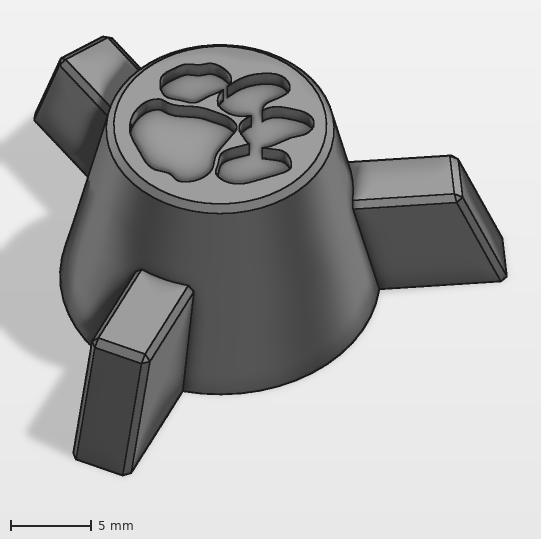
import cadquery as cq
import math

BASE_RADIUS = 10.0
BODY_HEIGHT = 14.0
BODY_DRAFT = 12.0
EDGE_CHAMFER = 0.4

WING_COUNT = 3
WING_SPAN = 32.48
WING_WIDTH = 4.0
WING_HEIGHT = 8.0
WING_END_SLOPE = 20.0
FIRST_WING_ANGLE = 180.0

SWEEP = math.radians(180 / WING_COUNT)
END_FLAT_HALF_WIDTH = WING_WIDTH / 2 - EDGE_CHAMFER
WING_REACH = (WING_SPAN / 2 - END_FLAT_HALF_WIDTH * math.cos(SWEEP)) / math.sin(SWEEP)

PAW_DEPTH = 1.0
PAW_CUT_HEIGHT = 2 * PAW_DEPTH
TOE_PADS = [
    [(-2.37, 2.15), (-3.0, 2.9), (-3.85, 2.9), (-4.65, 2.45), (-4.9, 1.85), (-5.4, 1.27), (-5.55, 0.45),
     (-5.4, -0.7), (-5.0, -1.07), (-3.93, -1.4), (-3.05, -0.78), (-2.47, -0.25), (-2.4, 0.65)],
    [(-2.45, 2.53), (-2.4, 3.8), (-1.98, 4.77), (-1.15, 5.52), (0.0, 5.3), (0.2, 4.1), (0.3, 3.1),
     (0.6, 2.73), (0.45, 2.05), (-0.2, 1.17), (-0.78, 0.9), (-1.53, 0.9), (-2.27, 1.7)],
    [(0.52, 2.75), (0.65, 3.6), (1.43, 4.45), (2.47, 5.05), (3.15, 4.95), (3.67, 4.0), (3.45, 3.12),
     (3.28, 1.65), (3.0, 0.95), (2.4, 0.6), (1.55, 0.62), (0.85, 0.85), (0.45, 2.0)],
    [(2.92, 0.95), (3.45, 1.43), (4.12, 1.98), (5.0, 1.9), (5.45, 1.55), (5.5, 0.65), (5.15, -0.62),
     (4.95, -1.5), (4.03, -2.47), (3.05, -2.47), (2.7, -2.08), (2.0, -1.3), (2.0, -0.52), (2.3, 0.5), (2.5, 0.88)],
]
PALM_PAD = [
    (-4.03, -1.92), (-4.25, -2.65), (-4.12, -3.35), (-3.65, -4.22), (-2.85, -4.87), (-0.88, -5.45),
    (0.78, -5.45), (1.65, -4.9), (2.25, -4.87), (2.8, -4.32), (3.0, -3.25), (2.75, -2.55), (1.95, -1.7),
    (1.62, -1.1), (1.07, 0.25), (0.8, 0.68), (-0.2, 0.8), (-0.97, 0.45), (-2.05, -0.25), (-3.0, -1.33), (-3.48, -1.62),
]


def knob_body():
    top_radius = BASE_RADIUS - BODY_HEIGHT * math.tan(math.radians(BODY_DRAFT))
    profile = [(0, 0), (BASE_RADIUS, 0), (top_radius, BODY_HEIGHT), (0, BODY_HEIGHT)]
    body = cq.Workplane("XZ").polyline(profile).close().revolve(360, (0, 0), (0, 1))
    return body.faces(">Z").chamfer(EDGE_CHAMFER)


def wing(angle):
    """One wing from the axis outward, chamfered on its top and on its sloping end."""
    top_reach = WING_REACH - WING_HEIGHT * math.tan(math.radians(WING_END_SLOPE))
    profile = [(0, 0), (WING_REACH, 0), (top_reach, WING_HEIGHT), (0, WING_HEIGHT)]
    blade = cq.Workplane("XZ").polyline(profile).close().extrude(WING_WIDTH / 2, both=True)
    top_and_end_edges = blade.edges("not(<Z or <X)")
    return top_and_end_edges.chamfer(EDGE_CHAMFER).rotate((0, 0, 0), (0, 0, 1), angle)


def pad_pocket(outline):
    """The cutter for one pad, from the pocket floor up through the top face."""
    floor = cq.Workplane("XY").workplane(offset=BODY_HEIGHT - PAW_DEPTH)
    return floor.spline(outline, periodic=True).wire().extrude(PAW_CUT_HEIGHT)


result = knob_body()
for index in range(WING_COUNT):
    result = result.union(wing(FIRST_WING_ANGLE + index * 360 / WING_COUNT))
for pad in TOE_PADS + [PALM_PAD]:
    result = result.cut(pad_pocket(pad))